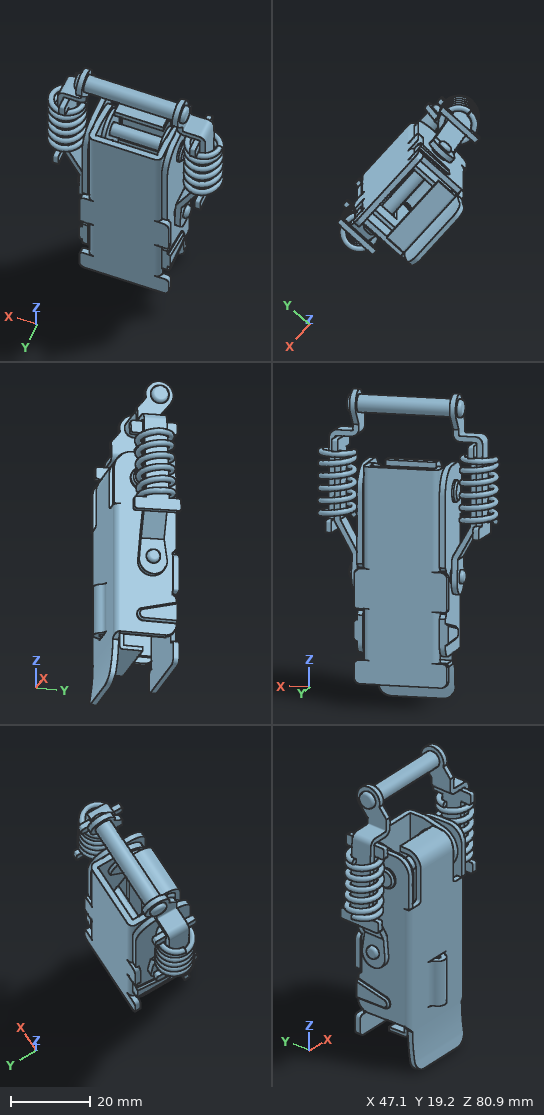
import cadquery as cq
import math


SHEET = 1.5
TOP_Z = 7.05

PIVOT_Y = -9.8
PIVOT_SHAFT_R = 1.8
PIVOT_HEAD_R = 2.8
PIVOT_HEAD_HEIGHT = 1.05
PIVOT_HEAD_CHAMFER = 0.6

LEVER_HALF_WIDTH = 11.6
LEVER_INNER = LEVER_HALF_WIDTH - SHEET
LEVER_FRONT_Y = -16.8
LEVER_BACK_Y = -0.6
LEVER_BOTTOM_Z = -41.4
LEVER_FRONT_CORNER_R = 4.6
LEVER_BACK_CORNER_R = 6.5
LEVER_HEEL_R = 2.9
CURL_END_Y = -10.1
SLOT_INNER = 6.6
SLOT_BOTTOM_Z = -7.1
SLOT_CORNER_R = 1.0
NOTCH_TOP_Z = -18.1
NOTCH_BOTTOM_Z = -31.3
NOTCH_CHAMFER = 1.05
LIP_TOP_Z = -43.2
LIP_BOTTOM_Z = -55.0
LIP_BEND_R = 52.6
LIP_CORNER_R = 3.2
BRIDGE_TOP_Z = -25.7
BRIDGE_BOTTOM_Z = -38.8
BRIDGE_HALF_WIDTH = 3.6
BRIDGE_HEIGHT = 2.4
BRIDGE_FOOT_R = 1.5
BUMP_HEIGHT = 0.8
BUMP_EDGE = 0.6
BUMP_TOP_Z = -32.45
BUMP_BOTTOM_Z = -38.1
BUMP_NOSE_Y = -9.2
BUMP_NOSE_R = 1.7

BASE_SHEET = 1.6
BASE_HALF_WIDTH = 9.95
BASE_BOTTOM_Z = -49.0
TAB_HALF_WIDTH = 12.1
EAR_R = 5.8
EAR_TOP_ANGLE = math.radians(13.8)
EAR_BOTTOM_ANGLE = math.radians(32.0)
UPPER_TAB_Z = (-29.5, -19.3)
UPPER_TAB_R = (0.6, 1.6)
LOWER_TAB_Z = (BASE_BOTTOM_Z, -42.8)
LOWER_TAB_R = (1.5, 1.05)

CATCH_SHEET = 1.05
CATCH_HALF_WIDTH = 8.2
CATCH_FRONT_Y = -15.0
CATCH_WEB_BACK_Y = -10.1
CATCH_FOOT_BACK_Y = -2.3
CATCH_FOOT_TOP_Z = -25.9
CATCH_PLATE_TOP_Z = -9.7
CATCH_SIDE_BOTTOM_Z = -40.5
CATCH_BOTTOM_Z = -45.6
CATCH_TAIL_HALF_WIDTH = 9.8
CATCH_TAIL_END_Y = -9.0
CATCH_BEND_R = 0.8

BAIL_PIN_Y = -7.3
BAIL_PIN_Z = -21.45
BAIL_TILT = 1.6
STRAP_HALF_WIDTH = 3.0
STRAP_NEAR = 12.3
STRAP_CONTACT = 18.5
STRAP_BEND_R = 1.95
TEE_HALF_WIDTH = 6.1
TEE_HEIGHT = 3.2
TEE_CORNER_R = 0.6
FOOT_TEE_BOTTOM = 10.4
HEAD_TEE_TOP = 34.55
JOGGLE_TOP = 36.5
BAR_HEIGHT = 43.6
BAR_OFFSET = 2.9
BAR_R = 2.35
STRAP_EYE_R = 3.65
NECK_BACK = 38.1
NECK_FRONT = 40.0
RIVET_HEIGHT = 1.2
RIVET_ROUND = 0.8
BAIL_PIN_R = 1.8
COLLAR_R = 2.0
LOWER_EYE_DROP = 1.0
LOWER_EYE_R = 3.65
LOWER_NECK = 4.9
SLANT_BOTTOM = 4.8
SLANT_TOP = 13.2

WIRE_R = 0.8
SPRING_OUTER_DIAMETER = 10.1
SPRING_R = SPRING_OUTER_DIAMETER / 2 - WIRE_R
SPRING_CLEARANCE = 0.04
SPRING_ACTIVE_TURNS = 5
SPRING_END_TURN = 0.5
SPRING_STEPS_PER_TURN = 24
SPRING_BOTTOM = FOOT_TEE_BOTTOM + TEE_HEIGHT + SPRING_CLEARANCE + WIRE_R
SPRING_TOP = HEAD_TEE_TOP - TEE_HEIGHT - SPRING_CLEARANCE - WIRE_R


def block(x, y, z):
    """Box between the (low, high) pairs x, y and z."""
    return cq.Workplane("XY").box(
        x[1] - x[0], y[1] - y[0], z[1] - z[0], centered=False
    ).translate((x[0], y[0], z[0]))


def plate_yz(outline, x_low, x_high):
    """Extrude a closed YZ outline from x_low to x_high."""
    return outline.extrude(x_high - x_low).translate((x_low, 0, 0))


def rod(radius, half_length, y, z):
    """Round bar along X, centred on X = 0."""
    return (
        cq.Workplane("YZ", origin=(-half_length, y, z))
        .circle(radius)
        .extrude(2 * half_length)
    )


def both_sides(part):
    """The part together with its mirror image in X = 0."""
    return part.union(part.mirror("YZ"))


def tangent_point(start, centre, radius, side):
    """Point where a line from start touches a circle; side is +1 (left) or -1 (right)."""
    to_centre = math.atan2(centre[1] - start[1], centre[0] - start[0])
    distance = math.dist(start, centre)
    angle = to_centre + side * math.asin(radius / distance)
    length = math.sqrt(distance**2 - radius**2)
    return (start[0] + length * math.cos(angle), start[1] + length * math.sin(angle))


def lever_sides():
    inside = LEVER_INNER
    notch_y = LEVER_BACK_Y - NOTCH_CHAMFER
    side = plate_yz(
        cq.Workplane("YZ")
        .moveTo(LEVER_FRONT_Y, LEVER_BOTTOM_Z)
        .lineTo(LEVER_FRONT_Y, TOP_Z - LEVER_FRONT_CORNER_R)
        .radiusArc((LEVER_FRONT_Y + LEVER_FRONT_CORNER_R, TOP_Z), LEVER_FRONT_CORNER_R)
        .lineTo(LEVER_BACK_Y - LEVER_BACK_CORNER_R, TOP_Z)
        .radiusArc((LEVER_BACK_Y, TOP_Z - LEVER_BACK_CORNER_R), LEVER_BACK_CORNER_R)
        .lineTo(LEVER_BACK_Y, NOTCH_TOP_Z)
        .lineTo(notch_y, NOTCH_TOP_Z - NOTCH_CHAMFER)
        .lineTo(notch_y, NOTCH_BOTTOM_Z + NOTCH_CHAMFER)
        .lineTo(LEVER_BACK_Y, NOTCH_BOTTOM_Z)
        .lineTo(LEVER_BACK_Y, LEVER_BOTTOM_Z + LEVER_HEEL_R)
        .radiusArc((LEVER_BACK_Y - LEVER_HEEL_R, LEVER_BOTTOM_Z), LEVER_HEEL_R)
        .close(),
        inside, LEVER_HALF_WIDTH,
    )
    run_out = (
        cq.Workplane("XZ", origin=(0, LEVER_FRONT_Y + SHEET, 0))
        .moveTo(inside, LEVER_BOTTOM_Z)
        .lineTo(LEVER_HALF_WIDTH, LEVER_BOTTOM_Z)
        .lineTo(inside, LIP_TOP_Z)
        .close()
        .extrude(SHEET)
    )
    corner = (
        cq.Workplane("XY", origin=(0, 0, LIP_TOP_Z))
        .moveTo(inside, LEVER_FRONT_Y)
        .lineTo(LEVER_HALF_WIDTH, LEVER_FRONT_Y)
        .lineTo(LEVER_HALF_WIDTH, LEVER_FRONT_Y + SHEET)
        .radiusArc((inside, LEVER_FRONT_Y), SHEET)
        .close()
        .extrude(SLOT_BOTTOM_Z - LIP_TOP_Z)
    )
    return both_sides(side.union(run_out).cut(corner))


def lever_front():
    """Front plate, curled over at the top and flared into a finger lip at the bottom."""
    front = LEVER_FRONT_Y
    curl_r = LEVER_FRONT_CORNER_R
    back_r = LIP_BEND_R + SHEET
    lip_angle = math.asin((LIP_TOP_Z - LIP_BOTTOM_Z) / back_r)

    def lip_end(radius):
        """Tip of a lip face of this bend radius; both faces bend around one centre."""
        return (
            front - LIP_BEND_R + radius * math.cos(lip_angle),
            LIP_TOP_Z - radius * math.sin(lip_angle),
        )

    plate = plate_yz(
        cq.Workplane("YZ")
        .moveTo(CURL_END_Y, TOP_Z)
        .lineTo(front + curl_r, TOP_Z)
        .radiusArc((front, TOP_Z - curl_r), -curl_r)
        .lineTo(front, LIP_TOP_Z)
        .radiusArc(lip_end(LIP_BEND_R), LIP_BEND_R)
        .lineTo(*lip_end(back_r))
        .radiusArc((front + SHEET, LIP_TOP_Z), -back_r)
        .lineTo(front + SHEET, TOP_Z - curl_r)
        .radiusArc((front + curl_r, TOP_Z - SHEET), curl_r - SHEET)
        .lineTo(CURL_END_Y, TOP_Z - SHEET)
        .close(),
        -LEVER_INNER, LEVER_INNER,
    )
    return plate.faces("<Z").edges("<X or >X").fillet(LIP_CORNER_R)


def lever_slot():
    """Slot that frees the curled middle of the front plate from one side."""
    slot = block(
        (SLOT_INNER, LEVER_INNER),
        (LEVER_FRONT_Y, CURL_END_Y),
        (SLOT_BOTTOM_Z, TOP_Z),
    )
    return slot.edges("|Y and <X and <Z").fillet(SLOT_CORNER_R)


def bridge_solid(foot_r, depth):
    """Solid between a bridge surface and the plane y = depth on which its feet stand.

    Each foot is a hollow arc of radius foot_r that meets the crown arc tangentially.
    """
    sweep = 2 * math.atan(BRIDGE_HEIGHT / BRIDGE_HALF_WIDTH)
    crown_r = BRIDGE_HALF_WIDTH / math.sin(sweep) - foot_r
    joint_x = crown_r * math.sin(sweep)
    crown_y = depth - (foot_r + crown_r) * (1 - math.cos(sweep))
    joint_y = crown_y + crown_r * (1 - math.cos(sweep))
    return (
        cq.Workplane("XY", origin=(0, 0, BRIDGE_BOTTOM_Z))
        .moveTo(-BRIDGE_HALF_WIDTH, depth)
        .radiusArc((-joint_x, joint_y), foot_r)
        .threePointArc((0, crown_y), (joint_x, joint_y))
        .radiusArc((BRIDGE_HALF_WIDTH, depth), foot_r)
        .close()
        .extrude(BRIDGE_TOP_Z - BRIDGE_BOTTOM_Z)
    )


def lever_bump():
    """Wedge-shaped boss pressed out of one side."""
    nose = (BUMP_NOSE_Y, BUMP_BOTTOM_Z + BUMP_NOSE_R)
    start = (LEVER_BACK_Y, BUMP_TOP_Z)
    top = tangent_point(start, nose, BUMP_NOSE_R, -1)
    bump = plate_yz(
        cq.Workplane("YZ")
        .moveTo(*start)
        .lineTo(*top)
        .threePointArc((nose[0] - BUMP_NOSE_R, nose[1]), (nose[0], BUMP_BOTTOM_Z))
        .lineTo(LEVER_BACK_Y, BUMP_BOTTOM_Z)
        .close(),
        LEVER_HALF_WIDTH, LEVER_HALF_WIDTH + BUMP_HEIGHT,
    )
    return bump.faces(">X").edges("not(>Y)").chamfer(BUMP_EDGE)


def make_lever():
    bridge_outside = bridge_solid(BRIDGE_FOOT_R, LEVER_FRONT_Y)
    bridge_inside = bridge_solid(BRIDGE_FOOT_R + SHEET, LEVER_FRONT_Y + SHEET)
    body = lever_sides().union(lever_front()).cut(both_sides(lever_slot()))
    body = body.union(bridge_outside).cut(bridge_inside)
    body = body.union(both_sides(lever_bump()))
    body = body.cut(rod(PIVOT_SHAFT_R, LEVER_HALF_WIDTH, PIVOT_Y, 0))
    return body.cut(rod(BAIL_PIN_R, LEVER_HALF_WIDTH, BAIL_PIN_Y, BAIL_PIN_Z))


def base_tabs(z, corner_r):
    """Pair of tabs, in one piece across the back plate."""
    tab = block((-TAB_HALF_WIDTH, TAB_HALF_WIDTH), (-BASE_SHEET, 0), z)
    return tab.edges("|Y and <Z").fillet(corner_r[0]).edges("|Y and >Z").fillet(corner_r[1])


def base_channel():
    """Back plate with two side ears that carry the pivot."""
    sin_top = math.sin(EAR_TOP_ANGLE)
    cos_top = math.cos(EAR_TOP_ANGLE)
    top_tangent = (PIVOT_Y - EAR_R * sin_top, EAR_R * cos_top)
    slope_end_y = top_tangent[0] + (TOP_Z - top_tangent[1]) / math.tan(EAR_TOP_ANGLE)
    low_tangent = (
        PIVOT_Y - EAR_R * math.cos(EAR_BOTTOM_ANGLE),
        -EAR_R * math.sin(EAR_BOTTOM_ANGLE),
    )
    low_end_z = low_tangent[1] - (-BASE_SHEET - low_tangent[0]) / math.tan(EAR_BOTTOM_ANGLE)
    channel = plate_yz(
        cq.Workplane("YZ")
        .moveTo(0, TOP_Z)
        .lineTo(slope_end_y, TOP_Z)
        .lineTo(*top_tangent)
        .threePointArc((PIVOT_Y - EAR_R, 0), low_tangent)
        .lineTo(-BASE_SHEET, low_end_z)
        .lineTo(-BASE_SHEET, BASE_BOTTOM_Z)
        .lineTo(0, BASE_BOTTOM_Z)
        .close(),
        -BASE_HALF_WIDTH, BASE_HALF_WIDTH,
    )
    channel = channel.edges("|Z and >Y").fillet(BASE_SHEET)
    inside = BASE_HALF_WIDTH - BASE_SHEET
    hollow = block((-inside, inside), (LEVER_FRONT_Y, -BASE_SHEET), (BASE_BOTTOM_Z, TOP_Z))
    return channel.cut(hollow)


def pivot_rivet():
    head = (
        cq.Workplane("YZ", origin=(LEVER_HALF_WIDTH, PIVOT_Y, 0))
        .circle(PIVOT_HEAD_R)
        .extrude(PIVOT_HEAD_HEIGHT)
        .faces(">X").chamfer(PIVOT_HEAD_CHAMFER)
    )
    return rod(PIVOT_SHAFT_R, LEVER_HALF_WIDTH, PIVOT_Y, 0).union(both_sides(head))


def make_base():
    return (
        base_channel()
        .union(base_tabs(UPPER_TAB_Z, UPPER_TAB_R))
        .union(base_tabs(LOWER_TAB_Z, LOWER_TAB_R))
        .union(pivot_rivet())
    )


def make_catch():
    """Thin channel that swings on the pivot inside the base, with a bent tail."""
    ear_r = PIVOT_Y - CATCH_FRONT_Y
    front_back_y = CATCH_FRONT_Y + CATCH_SHEET
    side = plate_yz(
        cq.Workplane("YZ")
        .moveTo(CATCH_FRONT_Y, CATCH_SIDE_BOTTOM_Z)
        .lineTo(CATCH_FRONT_Y, 0)
        .threePointArc((PIVOT_Y, ear_r), (PIVOT_Y + ear_r, 0))
        .lineTo(CATCH_WEB_BACK_Y, -ear_r)
        .lineTo(CATCH_WEB_BACK_Y, CATCH_FOOT_TOP_Z)
        .lineTo(CATCH_FOOT_BACK_Y, CATCH_FOOT_TOP_Z)
        .lineTo(CATCH_FOOT_BACK_Y, CATCH_SIDE_BOTTOM_Z)
        .close(),
        CATCH_HALF_WIDTH - CATCH_SHEET, CATCH_HALF_WIDTH,
    )
    front = block(
        (-CATCH_HALF_WIDTH, CATCH_HALF_WIDTH),
        (CATCH_FRONT_Y, front_back_y),
        (CATCH_SIDE_BOTTOM_Z, CATCH_PLATE_TOP_Z),
    )
    tail_x = (-CATCH_TAIL_HALF_WIDTH, CATCH_TAIL_HALF_WIDTH)
    tail = block(
        tail_x, (CATCH_FRONT_Y, CATCH_TAIL_END_Y), (CATCH_BOTTOM_Z, CATCH_SIDE_BOTTOM_Z)
    )
    tail = tail.edges("|X and <Y and <Z").fillet(CATCH_BEND_R)
    tail = tail.cut(block(
        tail_x,
        (front_back_y, CATCH_TAIL_END_Y),
        (CATCH_BOTTOM_Z + CATCH_SHEET, CATCH_SIDE_BOTTOM_Z),
    ))
    body = both_sides(side).union(front).union(tail)
    return body.cut(rod(PIVOT_SHAFT_R, CATCH_HALF_WIDTH, PIVOT_Y, 0))


def place_bail(part):
    return part.rotate((0, 0, 0), (1, 0, 0), BAIL_TILT).translate((0, BAIL_PIN_Y, BAIL_PIN_Z))


def tee(bottom, x_low):
    """Cross piece of a T-shaped strap end."""
    return block(
        (x_low, x_low + SHEET), (-TEE_HALF_WIDTH, TEE_HALF_WIDTH), (bottom, bottom + TEE_HEIGHT)
    ).edges("|X").fillet(TEE_CORNER_R)


def riveted_end(radius):
    """Formed end of a pin, proud of the strap's outer face."""
    end = (
        cq.Workplane("YZ", origin=(STRAP_NEAR + SHEET, 0, 0))
        .circle(radius)
        .extrude(RIVET_HEIGHT)
    )
    return end.faces(">X").edges().fillet(RIVET_ROUND)


def upper_strap():
    """Eye for the cross bar, joggled outwards to a leg that ends in a T-shaped foot."""
    near = STRAP_NEAR
    far = STRAP_CONTACT + SHEET
    arm_bottom = JOGGLE_TOP - SHEET
    eye_top = BAR_HEIGHT + STRAP_EYE_R
    inner_r = STRAP_BEND_R - SHEET
    section = (
        cq.Workplane("XZ")
        .moveTo(near, eye_top)
        .lineTo(near, arm_bottom)
        .lineTo(STRAP_CONTACT, arm_bottom)
        .lineTo(STRAP_CONTACT, FOOT_TEE_BOTTOM)
        .lineTo(far, FOOT_TEE_BOTTOM)
        .lineTo(far, JOGGLE_TOP)
        .lineTo(near + SHEET, JOGGLE_TOP)
        .lineTo(near + SHEET, eye_top)
        .close()
        .extrude(TEE_HALF_WIDTH + BAR_OFFSET, both=True)
    )
    for x, z, radius in (
        (near, arm_bottom, STRAP_BEND_R),
        (far, JOGGLE_TOP, STRAP_BEND_R),
        (STRAP_CONTACT, arm_bottom, inner_r),
        (near + SHEET, JOGGLE_TOP, inner_r),
    ):
        section = section.edges(cq.NearestToPointSelector((x, 0, z))).fillet(radius)

    eye = (BAR_OFFSET, BAR_HEIGHT)
    back_tangent = tangent_point((STRAP_HALF_WIDTH, NECK_BACK), eye, STRAP_EYE_R, -1)
    run = back_tangent[0] - STRAP_HALF_WIDTH
    rise = back_tangent[1] - NECK_BACK
    front_end = (-STRAP_HALF_WIDTH + 2 * run, NECK_FRONT + 2 * rise)
    outline = plate_yz(
        cq.Workplane("YZ")
        .moveTo(-STRAP_HALF_WIDTH, FOOT_TEE_BOTTOM)
        .lineTo(-STRAP_HALF_WIDTH, NECK_FRONT)
        .lineTo(*front_end)
        .lineTo(*eye)
        .lineTo(*back_tangent)
        .lineTo(STRAP_HALF_WIDTH, NECK_BACK)
        .lineTo(STRAP_HALF_WIDTH, FOOT_TEE_BOTTOM)
        .close(),
        near, far,
    )
    eye_disc = plate_yz(cq.Workplane("YZ").center(*eye).circle(STRAP_EYE_R), near, far)
    outline = outline.union(eye_disc)
    return section.intersect(outline).union(tee(FOOT_TEE_BOTTOM, STRAP_CONTACT))


def make_upper_bail():
    end = riveted_end(BAR_R).translate((0, BAR_OFFSET, BAR_HEIGHT))
    bar = rod(BAR_R, STRAP_NEAR, BAR_OFFSET, BAR_HEIGHT)
    return place_bail(both_sides(upper_strap().union(end)).union(bar))


def lower_strap():
    """Round eye at the bail pin, slanted outwards to a leg that ends in a T-shaped head."""
    near = STRAP_NEAR
    far = STRAP_CONTACT
    slant = math.atan2(far - SHEET - near, SLANT_TOP - SLANT_BOTTOM)
    miter = SHEET * math.tan(slant / 2)
    low = -LOWER_EYE_DROP - LOWER_EYE_R
    section = (
        cq.Workplane("XZ")
        .moveTo(near, low)
        .lineTo(near + SHEET, low)
        .lineTo(near + SHEET, SLANT_BOTTOM)
        .lineTo(far, SLANT_TOP)
        .lineTo(far, HEAD_TEE_TOP)
        .lineTo(far - SHEET, HEAD_TEE_TOP)
        .lineTo(far - SHEET, SLANT_TOP + miter)
        .lineTo(near, SLANT_BOTTOM + miter)
        .close()
        .extrude(TEE_HALF_WIDTH, both=True)
    )
    eye = (0, -LOWER_EYE_DROP)
    left = tangent_point((-STRAP_HALF_WIDTH, LOWER_NECK), eye, LOWER_EYE_R, -1)
    outline = plate_yz(
        cq.Workplane("YZ")
        .moveTo(-STRAP_HALF_WIDTH, HEAD_TEE_TOP)
        .lineTo(-STRAP_HALF_WIDTH, LOWER_NECK)
        .lineTo(*left)
        .threePointArc((0, low), (-left[0], left[1]))
        .lineTo(STRAP_HALF_WIDTH, LOWER_NECK)
        .lineTo(STRAP_HALF_WIDTH, HEAD_TEE_TOP)
        .close(),
        near, far,
    )
    return section.intersect(outline).union(tee(HEAD_TEE_TOP - TEE_HEIGHT, far - SHEET))


def make_lower_bail():
    collar = (
        cq.Workplane("YZ", origin=(LEVER_HALF_WIDTH, 0, 0))
        .circle(COLLAR_R)
        .extrude(STRAP_NEAR - LEVER_HALF_WIDTH)
    )
    end = riveted_end(BAIL_PIN_R)
    side = lower_strap().union(collar).union(end)
    return place_bail(both_sides(side).union(rod(BAIL_PIN_R, STRAP_NEAR, 0, 0)))


def make_spring(axis_x):
    """Coil spring with half a flat turn at each end, both ends on the -X side."""
    turns = SPRING_ACTIVE_TURNS + 2 * SPRING_END_TURN

    def wire_centre(t):
        angle = math.pi + 2 * math.pi * turns * t
        progress = (turns * t - SPRING_END_TURN) / SPRING_ACTIVE_TURNS
        progress = min(1, max(0, progress))
        height = SPRING_BOTTOM + (SPRING_TOP - SPRING_BOTTOM) * progress
        return (SPRING_R * math.cos(angle), SPRING_R * math.sin(angle), height)

    steps = round(SPRING_STEPS_PER_TURN * turns)
    path = cq.Workplane("XY").spline([wire_centre(i / steps) for i in range(steps + 1)])
    coil = (
        cq.Workplane("XZ", origin=(-SPRING_R, 0, SPRING_BOTTOM))
        .circle(WIRE_R)
        .sweep(path, isFrenet=True)
    )
    return place_bail(coil.translate((axis_x, 0, 0)))


base = make_base()
lever = make_lever()
catch = make_catch()
upper_bail = make_upper_bail()
lower_bail = make_lower_bail()
springs = [make_spring(side * STRAP_CONTACT) for side in (-1, 1)]

result = cq.Compound.makeCompound([
    body.solids().val() for body in (base, lever, catch, upper_bail, lower_bail, *springs)
])